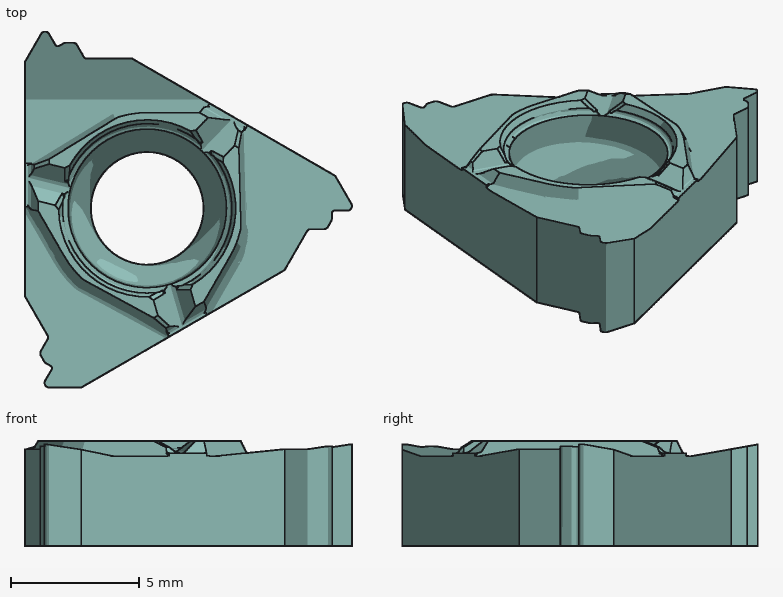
import cadquery as cq
import math

CORNERS = 3
CORNER_ANGLE = 360 / CORNERS
side_distance = 9.525 / 2

boss_top = 4.10
floor_height = 3.51
ledge_height = 3.63

tip_height = 6.885
lead_flank_distance = 6.98
trail_flank_distance = 0.09
valley_distance = 7.20
crest_height = 6.46
crest_flank_distance = 0.815
shoulder_height = 5.84
tip_radius = 0.16
valley_radius = 0.10
crest_lead_radius = 0.25
crest_trail_radius = 0.20
foot_radius = 0.12

rake_angle = 10
rake_start = 4.28
rake_blend_radius = 0.45
rake_reach = 8.0

boss_radius = 3.73
boss_slant_distance = 3.63
boss_slant_angle = 121.5
boss_draft = 26
boss_corner_radius = 1.00
boss_foot_radius = 0.30
end_wall_distance = 4.25
end_wall_draft = 32
end_wall_foot_radius = 0.18

ledge_start = 0.06
ledge_end = 1.76
ledge_inner = 4.20

groove_angle = 46
groove_top_half_width = 0.75
groove_sharp_half_width = 0.15
groove_blend_radius = 0.32
groove_length = 5.4
bevel_start = 3.82
bevel_angle = 23
bevel_from = 1.20
bevel_to = 2.40
mouth_chamfer = 0.14
mouth_bottom = 3.70

rim_radius = 3.45
counterbore_radius = 3.30
seat_top_radius = 3.09
seat_bottom_radius = 3.02
throat_radius = 2.19
throat_height = 0.85
throat_arc_radius = 2.00
flare_angle = math.radians(48.3)
counterbore_blend = 0.20


def meet(angle_a, distance_a, angle_b, distance_b):
    """Crossing point of two lines, each given by its normal's angle and distance from the axis."""
    a = math.radians(angle_a)
    b = math.radians(angle_b)
    spread = math.sin(b - a)
    x = (distance_a * math.sin(b) - distance_b * math.sin(a)) / spread
    y = (distance_b * math.cos(a) - distance_a * math.cos(b)) / spread
    return (x, y)


def rotate(point, degrees):
    """Point turned counterclockwise about the axis."""
    x, y = point
    angle = math.radians(degrees)
    return (x * math.cos(angle) - y * math.sin(angle), x * math.sin(angle) + y * math.cos(angle))


def rounded_outline(plane, corners):
    """Closed wire through (point, radius) corners, rounding each corner that has a radius."""
    sketch = None
    for i, (point, radius) in enumerate(corners):
        here = cq.Vector(*point)
        back = (cq.Vector(*corners[i - 1][0]) - here).normalized()
        ahead = (cq.Vector(*corners[(i + 1) % len(corners)][0]) - here).normalized()
        half_angle = back.getAngle(ahead) / 2
        trim = radius / math.tan(half_angle)
        start = here + back * trim
        if sketch is None:
            sketch = cq.Workplane(plane).moveTo(start.x, start.y)
        else:
            sketch = sketch.lineTo(start.x, start.y)
        if radius > 0:
            gap = radius / math.sin(half_angle) - radius
            middle = here + (back + ahead).normalized() * gap
            end = here + ahead * trim
            sketch = sketch.threePointArc((middle.x, middle.y), (end.x, end.y))
    return sketch.close()


def around(solid):
    """Union of the solid repeated at every corner."""
    copies = solid
    for i in range(1, CORNERS):
        copies = copies.union(solid.rotate((0, 0, 0), (0, 0, 1), i * CORNER_ANGLE))
    return copies


def make_blank():
    """Full-height prism of the insert outline."""
    corner = [
        (meet(180, side_distance, 150, lead_flank_distance), 0),
        (meet(150, lead_flank_distance, 90, tip_height), tip_radius),
        (meet(90, tip_height, 30, trail_flank_distance), tip_radius),
        (meet(30, trail_flank_distance, 120, valley_distance), valley_radius),
        (meet(120, valley_distance, 90, crest_height), crest_lead_radius),
        (meet(90, crest_height, 30, crest_flank_distance), crest_trail_radius),
        (meet(30, crest_flank_distance, 90, shoulder_height), foot_radius),
        (meet(90, shoulder_height, 60, side_distance), 0),
    ]
    outline = []
    for i in range(CORNERS):
        outline += [(rotate(point, -i * CORNER_ANGLE), radius) for point, radius in corner]
    return rounded_outline("XY", outline).extrude(boss_top)


def make_rake_wedges():
    """Wedges above the floor that carry the rake faces."""
    rise = math.tan(math.radians(rake_angle))
    trim = rake_blend_radius * math.tan(math.radians(rake_angle / 2))
    blend_end = (
        rake_start + trim * math.cos(math.radians(rake_angle)),
        floor_height + trim * math.sin(math.radians(rake_angle)),
    )
    wedge = (
        cq.Workplane("YZ")
        .lineTo(0, floor_height)
        .lineTo(rake_start - trim, floor_height)
        .tangentArcPoint(blend_end, relative=False)
        .lineTo(rake_reach, floor_height + (rake_reach - rake_start) * rise)
        .lineTo(rake_reach, 0)
        .close()
        .extrude(rake_reach, both=True)
    )
    return around(wedge)


def boss_outline(height, spread):
    """Boss outline grown by spread: at each corner an arc, its tangent wall and a slanted wall."""
    radius = boss_radius + spread
    slant = boss_slant_distance + spread
    arc_end_angle = boss_slant_angle - math.degrees(math.acos(slant / radius))
    arc_end = rotate((radius, 0), arc_end_angle)
    arc_middle = rotate((radius, 0), (90 + arc_end_angle) / 2)
    slant_end = meet(boss_slant_angle, slant, 90 + CORNER_ANGLE, radius)
    outline = cq.Workplane("XY").workplane(offset=height).moveTo(*rotate(slant_end, -CORNER_ANGLE))
    for i in range(CORNERS):
        turn = i * CORNER_ANGLE
        outline = outline.lineTo(*rotate((0, radius), turn))
        outline = outline.threePointArc(rotate(arc_middle, turn), rotate(arc_end, turn))
        if i < CORNERS - 1:
            outline = outline.lineTo(*rotate(slant_end, turn))
    return outline.close().wire().val()


def foot_box():
    """Selector for the boss foot edges, which lie at floor height inside the slab rim."""
    reach = side_distance
    margin = 0.05
    return cq.selectors.BoxSelector(
        (-reach, -reach, floor_height - margin), (reach, reach, floor_height + margin)
    )


def make_floor_and_boss():
    """Flat floor slab carrying the drafted boss, with the boss foot blended into the floor."""
    spread = (boss_top - floor_height) * math.tan(math.radians(boss_draft))
    foot = boss_outline(floor_height, spread)
    top = boss_outline(boss_top, 0)
    boss = cq.Workplane(cq.Solid.makeLoft([foot, top], True))
    corner_direction = boss_slant_angle - math.degrees(math.acos(boss_slant_distance / boss_radius))
    for i in range(CORNERS):
        x, y = rotate((boss_radius + spread / 2, 0), corner_direction + i * CORNER_ANGLE)
        corner_edge = cq.selectors.NearestToPointSelector((x, y, (floor_height + boss_top) / 2))
        boss = boss.edges(corner_edge).fillet(boss_corner_radius)
    slab = cq.Workplane("XY").circle(rake_reach).extrude(floor_height).union(boss)
    return slab.edges(foot_box()).fillet(boss_foot_radius)


def make_ledges():
    """Raised strips outside the boss end walls, where the grooves run out."""
    ledge = cq.Workplane("XY").box(
        side_distance - ledge_inner, ledge_end - ledge_start, ledge_height, centered=False
    )
    return around(ledge.translate((-side_distance, ledge_start, 0)))


def make_end_wall_cuts():
    """Clearance outside the leaning boss end walls, blended into the ledges at their feet."""
    wall_foot = end_wall_distance + (boss_top - ledge_height) * math.tan(math.radians(end_wall_draft))
    clearance = rounded_outline("XZ", [
        ((-end_wall_distance, boss_top), 0),
        ((-wall_foot, ledge_height), end_wall_foot_radius),
        ((-rake_reach, ledge_height), 0),
        ((-rake_reach, boss_top), 0),
    ])
    return around(clearance.extrude(rake_reach, both=True))


def make_grooves():
    """Radial grooves with leaning walls blended into a narrow bottom at ledge height."""
    wall_angle = math.atan2(boss_top - ledge_height, groove_top_half_width - groove_sharp_half_width)
    trim = groove_blend_radius * math.tan(wall_angle / 2)
    bottom_half_width = groove_sharp_half_width - trim
    blend_half_width = groove_sharp_half_width + trim * math.cos(wall_angle)
    blend_height = ledge_height + trim * math.sin(wall_angle)
    groove = (
        cq.Workplane("YZ")
        .moveTo(-bottom_half_width, ledge_height)
        .lineTo(bottom_half_width, ledge_height)
        .tangentArcPoint((blend_half_width, blend_height), relative=False)
        .lineTo(groove_top_half_width, boss_top)
        .lineTo(-groove_top_half_width, boss_top)
        .lineTo(-blend_half_width, blend_height)
        .tangentArcPoint((-bottom_half_width, ledge_height), relative=False)
        .close()
        .extrude(groove_length)
    )
    return around(groove.rotate((0, 0, 0), (0, 0, 1), groove_angle))


def make_groove_bevels():
    """Shallow bevels where each groove wall meets the slanted boss wall."""
    width = side_distance - bevel_start
    bevel = (
        cq.Workplane("XZ", origin=(0, bevel_from, 0))
        .moveTo(-bevel_start, boss_top)
        .lineTo(-side_distance, boss_top - width * math.tan(math.radians(bevel_angle)))
        .lineTo(-side_distance, boss_top)
        .close()
        .extrude(bevel_from - bevel_to)
    )
    return around(bevel)


def make_hole():
    """Revolved hole: counterbore, seat, and a seat blend running into the convex throat."""
    flare_radius = throat_radius + throat_arc_radius * (1 - math.cos(flare_angle))
    flare_rise = throat_arc_radius * math.sin(flare_angle)
    exit_angle = math.asin(throat_height / throat_arc_radius)
    exit_radius = throat_radius + throat_arc_radius * (1 - math.cos(exit_angle))
    seat_blend_radius = (seat_bottom_radius - flare_radius) / (1 - math.cos(flare_angle))
    flare_top = throat_height + flare_rise
    seat_bottom = flare_top + seat_blend_radius * math.sin(flare_angle)
    blend_foot = counterbore_radius - counterbore_blend
    profile = (
        cq.Workplane("XZ")
        .lineTo(exit_radius, 0)
        .threePointArc((throat_radius, throat_height), (flare_radius, flare_top))
        .tangentArcPoint((seat_bottom_radius, seat_bottom), relative=False)
        .lineTo(seat_top_radius, ledge_height)
        .lineTo(blend_foot, ledge_height)
        .tangentArcPoint((counterbore_radius, ledge_height + counterbore_blend), relative=False)
        .lineTo(rim_radius, boss_top)
        .lineTo(0, boss_top)
        .close()
    )
    return profile.revolve()


def make_groove_mouths():
    """Chamfer cutters on the edges where the groove walls meet the counterbore wall."""
    outlines = []
    for height in (mouth_bottom, boss_top):
        depth_share = (boss_top - height) / (boss_top - ledge_height)
        half_width = groove_top_half_width - depth_share * (groove_top_half_width - groove_sharp_half_width)
        wall_share = (boss_top - height) / (boss_top - ledge_height - counterbore_blend)
        wall_radius = rim_radius - wall_share * (rim_radius - counterbore_radius)
        swing = math.degrees(math.asin(half_width / wall_radius))
        x, y = rotate((wall_radius, 0), swing)
        along_x, along_y = rotate((0, mouth_chamfer), swing)
        corners = [
            cq.Vector(x + mouth_chamfer, y, height),
            cq.Vector(x + along_x, y + along_y, height),
            cq.Vector(x - mouth_chamfer, y - mouth_chamfer, height),
        ]
        outlines.append(cq.Wire.makePolygon(corners, close=True))
    cutter = cq.Workplane(cq.Solid.makeLoft(outlines, True))
    cutter = cutter.union(cutter.mirror("XZ"))
    return around(cutter.rotate((0, 0, 0), (0, 0, 1), groove_angle))


body = make_floor_and_boss().cut(make_end_wall_cuts()).union(make_ledges()).union(make_rake_wedges())
insert = make_blank().intersect(body)
insert = insert.cut(make_grooves()).cut(make_groove_bevels())
result = insert.cut(make_hole()).cut(make_groove_mouths())